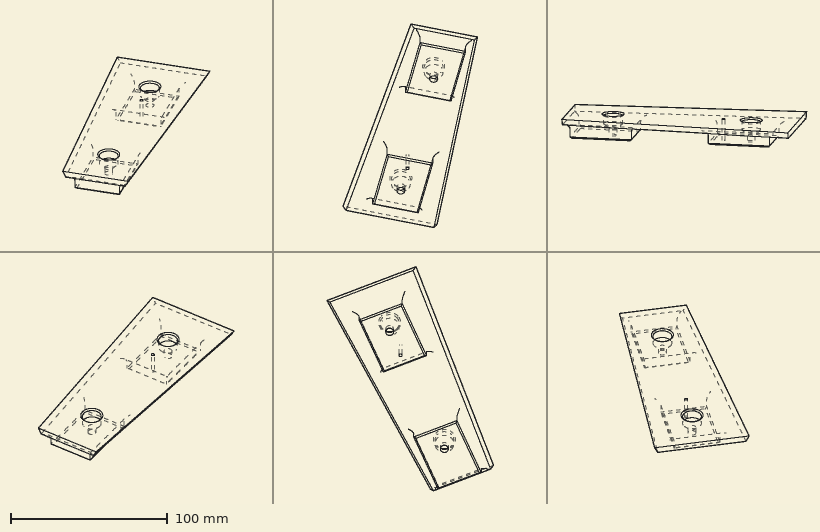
import cadquery as cq

plate_length = 149.0
back_width = 61.8
front_width = 43.8
plate_thickness = 4.0
side_lean = 2.1

total_height = 13.9
pad_width = 30.0
pad_length = 40.1
pad_root_radius = 3.9
pad_edge_chamfer = 1.0
pad_spacing = 90.0
front_pad_y = 24.0

screw_offset = 5.0
bore_diameter = 12.0
bore_depth = 6.3
bore_edge_chamfer = 1.0
screw_diameter = 5.0
pin_diameter = 2.0
pin_to_screw = 18.0

pad_centres = [front_pad_y, front_pad_y + pad_spacing]
screw_centres = [y + screw_offset for y in pad_centres]


def trapezoid_points(inset):
    """Plate outline with both long sides moved inward by inset."""
    back_x = back_width / 2 - inset
    front_x = front_width / 2 - inset
    return [(-front_x, 0), (front_x, 0), (back_x, plate_length), (-back_x, plate_length)]


def make_plate():
    return (
        cq.Workplane("XY")
        .polyline(trapezoid_points(0))
        .close()
        .workplane(offset=-plate_thickness)
        .polyline(trapezoid_points(side_lean))
        .close()
        .loft(ruled=True)
    )


def make_pad(y):
    """Block from the plate's top face down, chamfered around its bottom."""
    return (
        cq.Workplane("XY")
        .center(0, y)
        .rect(pad_width, pad_length)
        .extrude(-total_height)
        .faces("<Z")
        .edges()
        .chamfer(pad_edge_chamfer)
    )


def round_pad_roots(body):
    """Blend the pad walls into the underside of the plate."""
    reach = 0.1
    for y in pad_centres:
        selector = cq.selectors.BoxSelector(
            (-pad_width / 2 - reach, y - pad_length / 2 - reach, -plate_thickness - reach),
            (pad_width / 2 + reach, y + pad_length / 2 + reach, -plate_thickness + reach),
        )
        body = body.edges(selector).fillet(pad_root_radius)
    return body


def make_screw_hole(y):
    """Through hole below a bore with a 45 degree floor and a chamfered rim."""
    screw_radius = screw_diameter / 2
    bore_radius = bore_diameter / 2
    cone_bottom = -bore_depth - (bore_radius - screw_radius)
    profile = [
        (0, 0),
        (bore_radius + bore_edge_chamfer, 0),
        (bore_radius, -bore_edge_chamfer),
        (bore_radius, -bore_depth),
        (screw_radius, cone_bottom),
        (screw_radius, -total_height),
        (0, -total_height),
    ]
    hole = cq.Workplane("XZ").polyline(profile).close().revolve(360, (0, 0), (0, 1))
    return hole.translate((0, y, 0))


body = make_plate()
for pad_y in pad_centres:
    body = body.union(make_pad(pad_y))
body = round_pad_roots(body)

for screw_y in screw_centres:
    body = body.cut(make_screw_hole(screw_y))

pin_y = screw_centres[-1] - pin_to_screw
pin_hole = cq.Workplane("XY").center(0, pin_y).circle(pin_diameter / 2).extrude(-total_height)

result = body.cut(pin_hole)